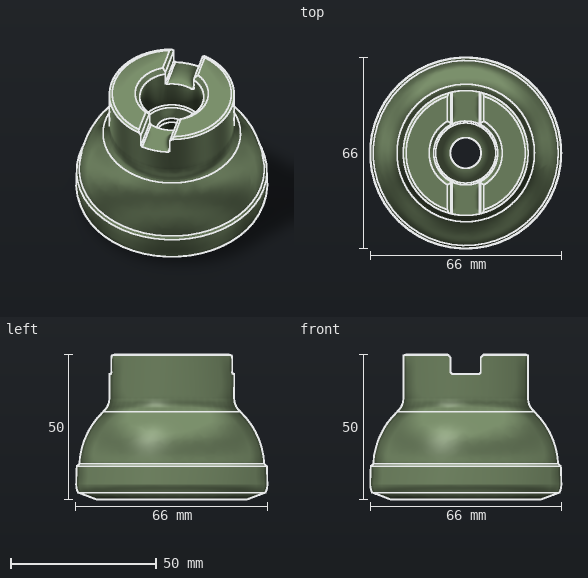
import cadquery as cq

height = 50.0
outer_radius = 33.0
pilot_radius = 10.5 / 2

band_height = 12.35
base_radius = 25.85
base_bevel_height = 2.45
bevel_radius = 32.3
corner_mid_radius = 32.8
corner_mid_height = 3.75
corner_top = 5.3
shoulder_bottom = 11.5
shoulder_radius = 32.8

dome_radius = 63.75 / 2
dome_mid_radius = 28.3
dome_mid_height = 24.35
dome_top_radius = 23.7
dome_top = 30.2

land_width = 0.65
land_height = 0.7
neck_radius = 43.0 / 2
flare_top = 34.85
rim_bevel_width = 1.0
rim_bevel_height = 0.4

bore_radius = 22.05 / 2
bore_depth = 17.8
bore_mouth_bevel = 1.6
bore_floor_bevel = 0.65

slot_width = 10.3
slot_depth = 6.7
slot_mouth_bevel = 1.1
slot_floor_bevel = 0.5


def revolve_about_axis(profile):
    """Turn a closed (radius, height) profile once around Z."""
    return profile.close().revolve(360, (0, 0, 0), (0, 1, 0))


def make_head():
    """Bevelled base, wide rounded band and dome, with the through hole."""
    return revolve_about_axis(
        cq.Workplane("XZ")
        .moveTo(pilot_radius, 0)
        .lineTo(base_radius, 0)
        .lineTo(bevel_radius, base_bevel_height)
        .threePointArc((corner_mid_radius, corner_mid_height), (outer_radius, corner_top))
        .lineTo(shoulder_radius, shoulder_bottom)
        .lineTo(dome_radius, band_height)
        .threePointArc((dome_mid_radius, dome_mid_height), (dome_top_radius, dome_top))
        .lineTo(pilot_radius, dome_top)
    )


def make_hub_blank():
    """Conical land, flared neck and bevelled rim, with the through hole."""
    land_top_radius = dome_top_radius - land_width
    land_top = dome_top + land_height
    return revolve_about_axis(
        cq.Workplane("XZ")
        .moveTo(pilot_radius, dome_top)
        .lineTo(pilot_radius, height)
        .lineTo(neck_radius - rim_bevel_width, height)
        .lineTo(neck_radius, height - rim_bevel_height)
        .lineTo(neck_radius, flare_top)
        .tangentArcPoint((land_top_radius, land_top), relative=False)
        .lineTo(dome_top_radius, dome_top)
    )


def make_bore_cutter():
    """Blind bore with a bevelled mouth and a bevelled floor corner."""
    floor = height - bore_depth
    return revolve_about_axis(
        cq.Workplane("XZ")
        .moveTo(0, floor)
        .lineTo(bore_radius - bore_floor_bevel, floor)
        .lineTo(bore_radius, floor + bore_floor_bevel)
        .lineTo(bore_radius, height - bore_mouth_bevel)
        .lineTo(bore_radius + bore_mouth_bevel, height)
        .lineTo(0, height)
    )


def make_slot_cutter():
    """Slot along Y, bevelled at its mouth and its floor corners."""
    half = slot_width / 2
    floor = height - slot_depth
    right_side = [
        (half - slot_floor_bevel, floor),
        (half, floor + slot_floor_bevel),
        (half, height - slot_mouth_bevel),
        (half + slot_mouth_bevel, height),
    ]
    left_side = [(-x, z) for x, z in reversed(right_side)]
    return (
        cq.Workplane("XZ")
        .polyline(right_side + left_side)
        .close()
        .extrude(neck_radius, both=True)
    )


head = make_head()
hub = make_hub_blank().cut(make_bore_cutter()).cut(make_slot_cutter())

result = cq.Compound.makeCompound([head.val(), hub.val()])